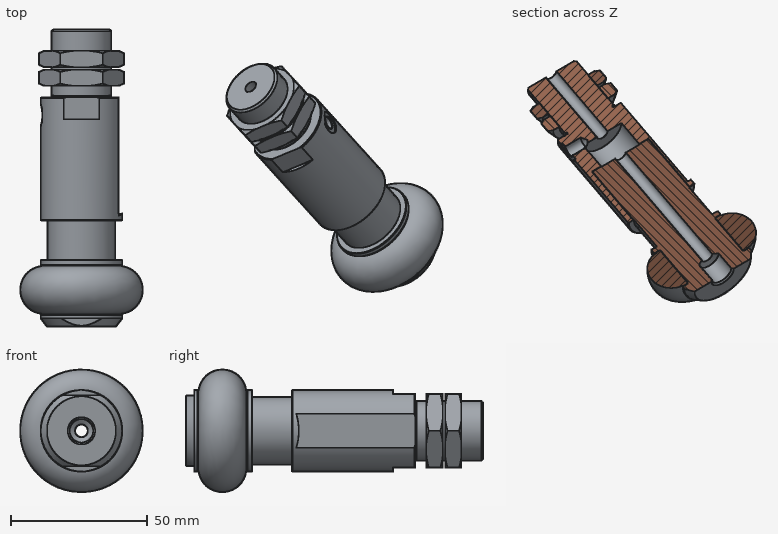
import cadquery as cq
import math


body_diameter = 30.0
body_front = 38.8
body_back = 84.0
body_edge_chamfer = 0.3
stub_diameter = 22.0
stub_back = 109.0
stub_chamfer = 0.8
groove_diameter = 20.4
groove_length = 0.5
wrench_flat_width = 27.0
wrench_flat_length = 8.1
side_flat_offset = 13.6
front_lip_length = 2.6
front_lip_bow_radius = 21.8

chamber_diameter = 17.0
chamber_back = 76.4

port_y = 77.5
port_diameter = 4.6
port_mouth_diameter = 5.0
port_depth = 7.6
spotface_diameter = 8.4
spotface_depth = 0.7
drill_half_angle = math.radians(59)

stem_diameter = 25.0
stem_insertion = 26.2
flange_diameter = body_diameter
flange_back = 24.4
flange_edge_chamfer = 0.2
ring_seat_chamfer = 0.4
head_cone_length = 3.0
head_flat_width = 25.9
head_edge_chamfer = 0.3
passage_diameter = 4.6
socket_diameter = 8.6
socket_mouth_diameter = 10.0
socket_depth = 8.7

ring_diameter = 45.0
ring_width = 17.7
ring_center_y = 13.4

nut_width = 27.0
nut_thickness = 6.0
nut_fronts = (88.2, 95.0)
nut_face_diameter = 27.5
nut_chamfer_length = 0.9

stem_radius = stem_diameter / 2
stem_back = body_front + stem_insertion
ring_front = ring_center_y - ring_width / 2
ring_back = ring_center_y + ring_width / 2


def revolve_about_y(outline):
    """Turn an outline of (radius, y) points about the Y axis."""
    profile = cq.Workplane("XY").polyline(outline).close()
    return profile.revolve(360, (0, 0, 0), (0, 1, 0))


def rod(diameter, start, end):
    """Cylinder on the Y axis between two Y positions."""
    return cq.Workplane("XZ", origin=(0, start, 0)).circle(diameter / 2).extrude(start - end)


def slab(width, start, end):
    """Block centred on the axis with two flats facing up and down."""
    length = end - start
    return cq.Workplane("XY").box(ring_diameter, length, width).translate((0, start + length / 2, 0))


def drill_tip_length(large_diameter, small_diameter=0):
    return (large_diameter - small_diameter) / 2 / math.tan(drill_half_angle)


def make_port_cutter():
    """Spotface, chamfered hole and drill point, bored from -X towards the axis."""
    floor = spotface_depth
    mouth_depth = floor + (port_mouth_diameter - port_diameter) / 2
    outline = [
        (0, 0),
        (spotface_diameter / 2, 0),
        (spotface_diameter / 2, floor),
        (port_mouth_diameter / 2, floor),
        (port_diameter / 2, mouth_depth),
        (port_diameter / 2, port_depth),
        (0, port_depth + drill_tip_length(port_diameter)),
    ]
    cutter = revolve_about_y(outline).rotate((0, 0, 0), (0, 0, 1), -90)
    return cutter.translate((-body_diameter / 2, port_y, 0))


def make_housing():
    body = rod(body_diameter, body_front, body_back).edges().chamfer(body_edge_chamfer)

    flat_start = body_back - wrench_flat_length
    body = body.intersect(
        slab(body_diameter, body_front, flat_start).union(slab(wrench_flat_width, flat_start, body_back))
    )

    lip_back = body_front + front_lip_length
    side_flat = (
        cq.Workplane("XY")
        .box(body_diameter, body_back - body_front, body_diameter, centered=(False, False, True))
        .translate((side_flat_offset, body_front, 0))
    )
    lip = (
        cq.Workplane("YZ", origin=(side_flat_offset, lip_back - front_lip_bow_radius, 0))
        .circle(front_lip_bow_radius)
        .extrude(body_diameter)
    )
    body = body.cut(side_flat.cut(lip))

    stub = rod(stub_diameter, body_back + groove_length, stub_back).faces(">Y").chamfer(stub_chamfer)
    stub_root = rod(groove_diameter, body_back, body_back + groove_length)
    housing = body.union(stub_root).union(stub)

    housing = housing.cut(rod(stem_diameter, body_front, stem_back))
    housing = housing.cut(rod(chamber_diameter, stem_back, chamber_back))
    housing = housing.cut(rod(passage_diameter, body_front, stub_back))
    return housing.cut(make_port_cutter())


def make_spindle():
    head_radius = head_flat_width / 2
    flange_radius = flange_diameter / 2
    outline = [
        (0, 0),
        (head_radius - head_edge_chamfer, 0),
        (head_radius, head_edge_chamfer),
        (flange_radius, head_cone_length),
        (flange_radius, ring_front - ring_seat_chamfer),
        (flange_radius - flange_edge_chamfer, ring_front),
        (stem_radius, ring_front),
        (stem_radius, ring_back),
        (flange_radius - flange_edge_chamfer, ring_back),
        (flange_radius, ring_back + ring_seat_chamfer),
        (flange_radius, flange_back - flange_edge_chamfer),
        (flange_radius - flange_edge_chamfer, flange_back),
        (stem_radius, flange_back),
        (stem_radius, stem_back),
        (0, stem_back),
    ]
    spindle = revolve_about_y(outline)

    spindle = spindle.intersect(
        slab(head_flat_width, 0, head_cone_length).union(slab(flange_diameter, head_cone_length, stem_back))
    )

    socket_outline = [
        (0, 0),
        (socket_mouth_diameter / 2, 0),
        (socket_diameter / 2, (socket_mouth_diameter - socket_diameter) / 2),
        (socket_diameter / 2, socket_depth),
        (passage_diameter / 2, socket_depth + drill_tip_length(socket_diameter, passage_diameter)),
        (passage_diameter / 2, stem_back),
        (0, stem_back),
    ]
    return spindle.cut(revolve_about_y(socket_outline))


def make_ring():
    """Ring with a half-round rim and flat sides, seated between the spindle flanges."""
    rim_center = (ring_diameter - ring_width) / 2
    profile = (
        cq.Workplane("XY")
        .moveTo(stem_radius, ring_front)
        .lineTo(rim_center, ring_front)
        .threePointArc((ring_diameter / 2, ring_center_y), (rim_center, ring_back))
        .lineTo(stem_radius, ring_back)
        .close()
    )
    return profile.revolve(360, (0, 0, 0), (0, 1, 0))


def make_nut(front):
    """Hexagon nut with flats up and down and corners chamfered on both faces."""
    back = front + nut_thickness
    corner_diameter = nut_width / math.cos(math.pi / 6)
    hexagon = cq.Workplane("XZ", origin=(0, front, 0)).polygon(6, corner_diameter).extrude(-nut_thickness)
    envelope_outline = [
        (0, front),
        (nut_face_diameter / 2, front),
        (corner_diameter / 2, front + nut_chamfer_length),
        (corner_diameter / 2, back - nut_chamfer_length),
        (nut_face_diameter / 2, back),
        (0, back),
    ]
    nut = hexagon.intersect(revolve_about_y(envelope_outline))
    return nut.cut(rod(stub_diameter, front, back))


housing = make_housing()
spindle = make_spindle()
ring = make_ring()
nuts = [make_nut(front) for front in nut_fronts]

result = cq.Compound.makeCompound(
    [housing.val(), spindle.val(), ring.val(), *[nut.val() for nut in nuts]]
)